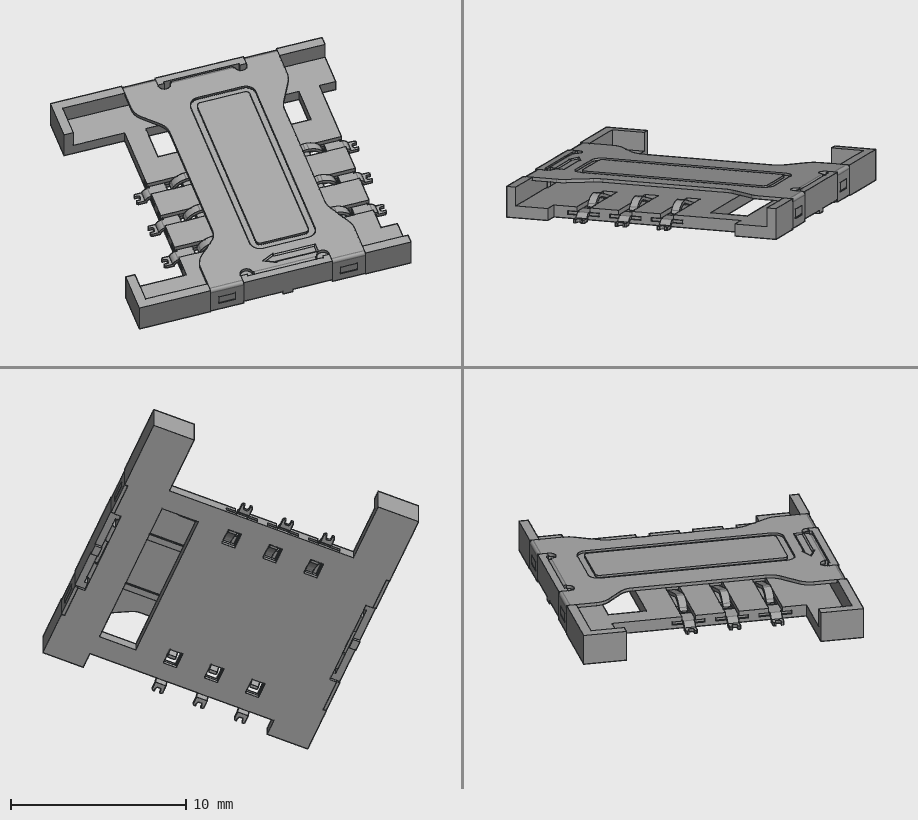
import cadquery as cq

LENGTH_X = 16.4
LENGTH_Y = 16.3
HEIGHT = 1.8
SHEET = 0.2

FLOOR_TOP = 0.7
WALL = 0.55
LEG_WIDTH = 2.51
MID_Y = 1.33
BAR_HALF = 5.84
OPENING_X_MIN, OPENING_X_MAX = -5.63, -3.38
OPENING_HALF = 4.6

SHIELD_Y = 0.77
TAB_INNER, TAB_OUTER = 2.65, 4.64
TAB_BOTTOM = 0.05
SHIELD_TOP_Y = SHIELD_Y + TAB_OUTER
SHIELD_BOTTOM_Y = SHIELD_Y - TAB_OUTER
REAR_EDGE_Y, FRONT_EDGE_Y = 4.43, -2.35
NECK_CORNER_X = 5.9
REAR_NECK_X, FRONT_NECK_X = 4.0, 4.38
FRONT_NECK_SHIFT = -0.08
REAR_NECK_RADIUS, FRONT_NECK_RADIUS = 1.18, 1.15

WINDOW_WIDTH, WINDOW_BOTTOM, WINDOW_TOP = 1.02, 0.54, 1.1
LATCH_GAP = 0.07
TAB_MID = (TAB_INNER + TAB_OUTER) / 2

FLAP_INNER_X = 7.58
FLAP_OUTER_X = FLAP_INNER_X + SHEET
FLAP_HALF = 1.85
FLAP_FOOT_INNER = 0.8
RELIEF_RADIUS = 0.36
RELIEF_OFFSET = TAB_INNER - RELIEF_RADIUS
SLOT_HALF = 2.26
NOTCH_HEIGHT = 0.2
NOTCH_WEB_HALF = 0.3

PANEL_X, PANEL_Y, PANEL_RADIUS = 12.09, 3.9, 0.6
ISLAND_X, ISLAND_Y, ISLAND_RADIUS = 11.25, 3.15, 0.25
PANEL_DROP = 0.13
ARROW_X, ARROW_TAIL_Y, ARROW_NECK_Y, ARROW_TIP_Y = 6.95, 2.9, 0.4, -0.36
ARROW_SHAFT_HALF, ARROW_HEAD_HALF = 0.3, 0.38
ARROW_DEPTH = 0.07
ARROW_TAPER = 55.0

CONTACT_PITCH = 2.55
CONTACT_MID_X = 1.35
PLATE_BOTTOM = 0.23
PLATE_TOP = PLATE_BOTTOM + SHEET
PLATE_WIDTH, PLATE_INNER, PLATE_OUTER = 1.92, 1.48, 5.7
CHANNEL_WIDTH = 0.8
WELL_INNER, WELL_OUTER = 3.8, 4.77
ARM_WIDTH, ARM_TIP, ARM_TIP_TOP, ARM_TIP_BOTTOM = 0.48, 4.58, 0.64, 0.46
ARM_TIP_SLANT, ARM_TIP_CORNER, ARM_CURVE = 0.11, 0.05, 1.15
PEAK_INNER, PEAK_OUTER, PEAK_Z = 3.46, 3.67, 1.07
TAIL_WIDTH, BEND_END, TAIL_END = 0.65, 6.18, 6.66
BEND_RADIUS = 0.5
FOOT_BOTTOM = -0.05
FOOT_TOP = FOOT_BOTTOM + SHEET
FORK_WIDTH, FORK_DEPTH, FORK_CORNER = 0.33, 0.3, 0.07
FORK_ROUND = 0.11


def block(x0, x1, y0, y1, z0, z1):
    """Axis-aligned box between two corners."""
    return cq.Workplane("XY").box(x1 - x0, y1 - y0, z1 - z0, centered=False).translate((x0, y0, z0))


def both_sides(body):
    """The body together with its mirror image across the YZ plane."""
    return body.union(body.mirror("YZ"))


def four_fold(body):
    """A body built about y = 0, repeated by mirroring in X and Y, then moved to SHIELD_Y."""
    return both_sides(body.union(body.mirror("XZ"))).translate((0, SHIELD_Y, 0))


def arm():
    """Sprung arm that rises from the inner end of the plate and curves down to its tip."""
    slope = (PEAK_Z - PLATE_TOP) / (PEAK_INNER - PLATE_INNER)
    root_end = PLATE_INNER + SHEET / slope
    tip_top = ARM_TIP - ARM_TIP_SLANT
    body = (
        cq.Workplane("YZ")
        .moveTo(PLATE_INNER, PLATE_TOP)
        .lineTo(PEAK_INNER, PEAK_Z)
        .lineTo(PEAK_OUTER, PEAK_Z)
        .radiusArc((tip_top, ARM_TIP_TOP), ARM_CURVE)
        .lineTo(ARM_TIP, ARM_TIP_BOTTOM)
        .lineTo(ARM_TIP - SHEET, ARM_TIP_BOTTOM)
        .radiusArc((PEAK_OUTER, PEAK_Z - SHEET), -ARM_CURVE)
        .lineTo(PEAK_INNER, PEAK_Z - SHEET)
        .lineTo(root_end, PLATE_TOP)
        .close()
        .extrude(ARM_WIDTH / 2, both=True)
    )
    half_width = ARM_WIDTH / 2
    plan = block(-half_width, half_width, PLATE_INNER, ARM_TIP, PLATE_TOP, PEAK_Z)
    return body.intersect(plan.faces(">Y").edges("|Z").chamfer(ARM_TIP_CORNER))


def tail():
    """Solder tail that bends down from the plate to a flat, forked foot."""
    body = (
        cq.Workplane("YZ")
        .moveTo(PLATE_OUTER, PLATE_TOP)
        .lineTo(BAR_HALF, PLATE_TOP)
        .radiusArc((BEND_END, FOOT_TOP), BEND_RADIUS)
        .lineTo(TAIL_END, FOOT_TOP)
        .lineTo(TAIL_END, FOOT_BOTTOM)
        .lineTo(BEND_END - SHEET / 2, FOOT_BOTTOM)
        .radiusArc((BAR_HALF, PLATE_BOTTOM), SHEET - BEND_RADIUS)
        .lineTo(PLATE_OUTER, PLATE_BOTTOM)
        .close()
        .extrude(TAIL_WIDTH / 2, both=True)
    )
    body = body.faces(">Y").edges("|Z").chamfer(FORK_CORNER)
    fork = block(-FORK_WIDTH / 2, FORK_WIDTH / 2, TAIL_END - FORK_DEPTH, TAIL_END, FOOT_BOTTOM, FOOT_TOP)
    fork = fork.faces("<Y").edges("|Z").fillet(FORK_ROUND)
    return body.cut(fork)


def contact():
    """One contact of the rear row, with its mirror line at y = 0."""
    half = PLATE_WIDTH / 2
    plate = block(-half, half, PLATE_INNER, PLATE_OUTER, PLATE_BOTTOM, PLATE_TOP)
    return plate.cut(well()).union(arm()).union(tail())


def well():
    """Hole under the tip of one arm."""
    return block(-CHANNEL_WIDTH / 2, CHANNEL_WIDTH / 2, WELL_INNER, WELL_OUTER, 0, FLOOR_TOP)


def contact_cavity():
    """Room in the housing floor for one contact: plate pocket, open channel and well."""
    half_plate, half_channel = PLATE_WIDTH / 2, CHANNEL_WIDTH / 2
    pocket = block(-half_plate, half_plate, PLATE_INNER, BAR_HALF, PLATE_BOTTOM, PLATE_TOP)
    channel = block(-half_channel, half_channel, PLATE_INNER, BAR_HALF, PLATE_TOP, FLOOR_TOP)
    return pocket.union(channel).union(well())


def at_contact_places(body):
    """Copies of a rear-row body at the six contact places: three along X, in two facing rows."""
    copies = []
    for row in (body, body.mirror("XZ")):
        for step in (-1, 0, 1):
            copies.append(row.translate((CONTACT_MID_X + step * CONTACT_PITCH, MID_Y, 0)))
    return copies


def housing_blank():
    """H-shaped floor with a wall along each side and across the front of each leg."""
    half_x, half_y = LENGTH_X / 2, LENGTH_Y / 2
    leg_inner = half_x - LEG_WIDTH
    bar = block(-leg_inner, leg_inner, MID_Y - BAR_HALF, MID_Y + BAR_HALF, 0, FLOOR_TOP)
    leg = block(leg_inner, half_x, -half_y, half_y, 0, HEIGHT)
    trough = block(leg_inner, half_x - WALL, -half_y + WALL, half_y, FLOOR_TOP, HEIGHT)
    opening = block(OPENING_X_MIN, OPENING_X_MAX, MID_Y - OPENING_HALF, MID_Y + OPENING_HALF, 0, FLOOR_TOP)
    return bar.union(both_sides(leg.cut(trough))).cut(opening)


def tab_seats():
    """Material removed from the side walls where the shield tabs fold over them."""
    half_x = LENGTH_X / 2
    top = block(half_x - WALL, half_x, TAB_INNER, TAB_OUTER, HEIGHT - SHEET, HEIGHT)
    side = block(half_x - SHEET, half_x, TAB_INNER, TAB_OUTER, 0, HEIGHT)
    return four_fold(top.union(side))


def latches():
    """Blocks on the side walls that hold the tabs through their windows."""
    half_x, half_width = LENGTH_X / 2, WINDOW_WIDTH / 2
    latch = block(half_x - SHEET, half_x, TAB_MID - half_width, TAB_MID + half_width,
                  WINDOW_BOTTOM + LATCH_GAP, WINDOW_TOP)
    return four_fold(latch)


def flap_slots():
    """Slots for the shield flaps, and the notches that open them at the foot of the wall."""
    slot = block(FLAP_INNER_X, FLAP_OUTER_X, 0, SLOT_HALF, 0, HEIGHT)
    notch = block(FLAP_INNER_X, LENGTH_X / 2, NOTCH_WEB_HALF, TAB_INNER, 0, NOTCH_HEIGHT)
    return four_fold(slot.union(notch))


def housing_body():
    body = housing_blank().cut(tab_seats()).union(latches()).cut(flap_slots())
    for cavity in at_contact_places(contact_cavity()):
        body = body.cut(cavity)
    return body


def upright_edges_at(body, corners):
    """The upright edges of a body that stand on the given (x, y) corners."""
    reach = 0.02

    def on_corner(edge):
        middle = edge.Center()
        return any(abs(middle.x - x) < reach and abs(middle.y - y) < reach for x, y in corners)

    return body.edges("|Z").filter(on_corner)


def shield_plate():
    """Flat top of the shield: wide ends joined by a narrower middle, with rounded necks."""
    half_x = LENGTH_X / 2 - SHEET
    rear_right = [(REAR_NECK_X, REAR_EDGE_Y), (NECK_CORNER_X, SHIELD_TOP_Y)]
    rear_left = [(-x, y) for x, y in reversed(rear_right)]
    front_right = [
        (FRONT_NECK_SHIFT + NECK_CORNER_X, SHIELD_BOTTOM_Y), (FRONT_NECK_SHIFT + FRONT_NECK_X, FRONT_EDGE_Y),
    ]
    front_left = [(2 * FRONT_NECK_SHIFT - x, y) for x, y in reversed(front_right)]
    right_end = [(half_x, SHIELD_TOP_Y), (half_x, SHIELD_BOTTOM_Y)]
    left_end = [(-x, y) for x, y in reversed(right_end)]
    plate = (
        cq.Workplane("XY", origin=(0, 0, HEIGHT - SHEET))
        .polyline(rear_right + right_end + front_right + front_left + left_end + rear_left)
        .close()
        .extrude(SHEET)
    )
    plate = upright_edges_at(plate, rear_right + rear_left).fillet(REAR_NECK_RADIUS)
    return upright_edges_at(plate, front_right + front_left).fillet(FRONT_NECK_RADIUS)


def flap_reliefs():
    """Cut-outs between the tabs: clear of the walls, with a round relief beside each flap."""
    half_x = LENGTH_X / 2
    edge = block(FLAP_INNER_X, half_x, -TAB_INNER, TAB_INNER, 0, HEIGHT).translate((0, SHIELD_Y, 0))
    relief = cq.Workplane("XY").center(FLAP_INNER_X, RELIEF_OFFSET).circle(RELIEF_RADIUS).extrude(HEIGHT)
    return both_sides(edge).union(four_fold(relief))


def folded_sheet(outer_x, y0, y1, bottom_z):
    """Upright sheet that continues the plate downward through a rounded bend."""
    return (
        cq.Workplane("XZ", origin=(0, y0, 0))
        .moveTo(outer_x - SHEET, bottom_z)
        .lineTo(outer_x, bottom_z)
        .lineTo(outer_x, HEIGHT - SHEET)
        .radiusArc((outer_x - SHEET, HEIGHT), -SHEET)
        .close()
        .extrude(y0 - y1)
    )


def tabs():
    """Windowed side tabs that fold down over the housing walls."""
    half_x, half_width = LENGTH_X / 2, WINDOW_WIDTH / 2
    tab = folded_sheet(half_x, TAB_INNER, TAB_OUTER, TAB_BOTTOM)
    window = block(half_x - SHEET, half_x, TAB_MID - half_width, TAB_MID + half_width,
                   WINDOW_BOTTOM, WINDOW_TOP)
    return four_fold(tab.cut(window))


def flaps():
    """Flaps folded down through the housing, each ending in two feet with a rounded outer edge."""
    web = folded_sheet(FLAP_OUTER_X, -FLAP_HALF, FLAP_HALF, NOTCH_HEIGHT).translate((0, SHIELD_Y, 0))
    foot = (
        cq.Workplane("XZ", origin=(0, FLAP_FOOT_INNER, 0))
        .moveTo(FLAP_INNER_X, NOTCH_HEIGHT)
        .lineTo(FLAP_OUTER_X, NOTCH_HEIGHT)
        .radiusArc((FLAP_INNER_X, NOTCH_HEIGHT - SHEET), SHEET)
        .close()
        .extrude(FLAP_FOOT_INNER - FLAP_HALF)
    )
    return both_sides(web).union(four_fold(foot))


def panel_ring(top_z):
    """Flat ring between the two rounded rectangles of the embossed panel, with its top at top_z."""
    outer = block(-PANEL_X / 2, PANEL_X / 2, -PANEL_Y / 2, PANEL_Y / 2, -PANEL_DROP, 0)
    inner = block(-ISLAND_X / 2, ISLAND_X / 2, -ISLAND_Y / 2, ISLAND_Y / 2, -PANEL_DROP, 0)
    outer = outer.edges("|Z").fillet(PANEL_RADIUS)
    inner = inner.edges("|Z").fillet(ISLAND_RADIUS)
    return outer.cut(inner).translate((0, MID_Y, top_z))


def arrow():
    """Tapered recess in the shape of an arrow pointing to the front."""
    right_side = [
        (ARROW_X + ARROW_SHAFT_HALF, ARROW_TAIL_Y), (ARROW_X + ARROW_SHAFT_HALF, ARROW_NECK_Y),
        (ARROW_X + ARROW_HEAD_HALF, ARROW_NECK_Y),
    ]
    left_side = [(2 * ARROW_X - x, y) for x, y in reversed(right_side)]
    return (
        cq.Workplane("XY", origin=(0, 0, HEIGHT))
        .polyline(right_side + [(ARROW_X, ARROW_TIP_Y)] + left_side)
        .close()
        .extrude(-ARROW_DEPTH, taper=ARROW_TAPER)
    )


def shield_body():
    body = shield_plate().cut(flap_reliefs()).union(tabs()).union(flaps())
    body = body.union(panel_ring(HEIGHT - SHEET)).cut(panel_ring(HEIGHT))
    return body.cut(arrow())


housing = housing_body()
shield = shield_body()
contacts = at_contact_places(contact())

result = cq.Compound.makeCompound([housing.val(), shield.val(), *[pin.val() for pin in contacts]])